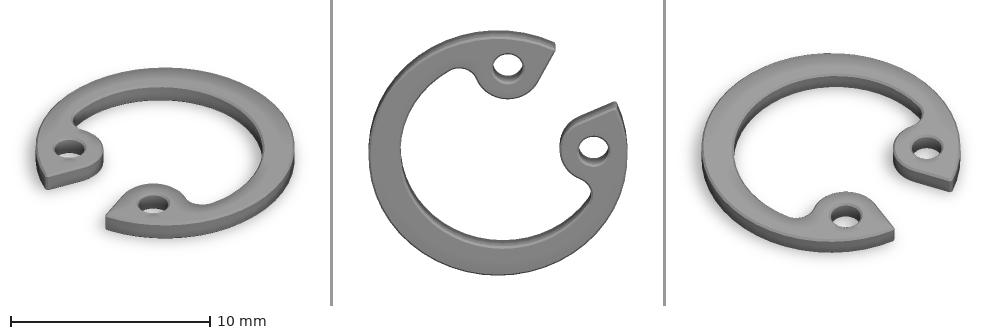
import cadquery as cq
import math

outer_radius = 6.5
thickness = 1.0
edge_chamfer = 0.1

inner_radius = 5.14
inner_center = (0.0, -0.34)

lug_center = (-3.11, -3.67)
lug_radius = 1.7
hole_diameter = 1.5
root_radius = 0.91
tip_x = -2.16


def polar_point(center, radius, angle):
    """Point at a given radius and angle (radians) from a center."""
    return (center[0] + radius * math.cos(angle), center[1] + radius * math.sin(angle))


def direction(start, end):
    """Angle of the line from start to end."""
    return math.atan2(end[1] - start[1], end[0] - start[0])


def mirrored(point):
    """Matching point on the right-hand side."""
    return (-point[0], point[1])


def root_blend_center():
    """Center of the arc tangent inside the opening and outside the lug."""
    from_inner = inner_radius - root_radius
    from_lug = lug_radius + root_radius
    spacing = math.dist(inner_center, lug_center)
    cosine = (from_inner**2 + spacing**2 - from_lug**2) / (2 * from_inner * spacing)
    angle = direction(inner_center, lug_center) - math.acos(cosine)
    return polar_point(inner_center, from_inner, angle)


def ring_body():
    """Whole ring with square edges, symmetric about the YZ plane."""
    root_center = root_blend_center()
    inner_angle = direction(inner_center, root_center) % (2 * math.pi)
    root_start = polar_point(inner_center, inner_radius, inner_angle)

    root_end_angle = direction(lug_center, root_center)
    root_end = polar_point(lug_center, lug_radius, root_end_angle)
    root_mid_angle = (inner_angle + root_end_angle + math.pi) / 2
    root_mid = polar_point(root_center, root_radius, root_mid_angle)

    tip = (tip_x, -math.sqrt(outer_radius**2 - tip_x**2))
    tangent_offset = math.acos(lug_radius / math.dist(lug_center, tip))
    tangent_angle = direction(lug_center, tip) + tangent_offset
    lug_end = polar_point(lug_center, lug_radius, tangent_angle)
    lug_mid = polar_point(lug_center, lug_radius, (root_end_angle + tangent_angle) / 2)

    body = (
        cq.Workplane("XY")
        .moveTo(*tip)
        .threePointArc((0, outer_radius), mirrored(tip))
        .lineTo(*mirrored(lug_end))
        .threePointArc(mirrored(lug_mid), mirrored(root_end))
        .threePointArc(mirrored(root_mid), mirrored(root_start))
        .threePointArc((0, inner_center[1] + inner_radius), root_start)
        .threePointArc(root_mid, root_end)
        .threePointArc(lug_mid, lug_end)
        .close()
        .extrude(thickness)
        .translate((0, 0, -thickness / 2))
    )
    for side in (1, -1):
        corner = cq.selectors.NearestToPointSelector((side * tip_x, tip[1], 0))
        body = body.edges(corner).chamfer(edge_chamfer)
    return body


def lug_holes():
    """Plier holes through both lugs."""
    x, y = lug_center
    return (
        cq.Workplane("XY", origin=(0, 0, -thickness / 2))
        .pushPoints([(x, y), (-x, y)])
        .circle(hole_diameter / 2)
        .extrude(thickness)
    )


ring = ring_body().cut(lug_holes())

result = ring.faces("|Z").edges().chamfer(edge_chamfer)